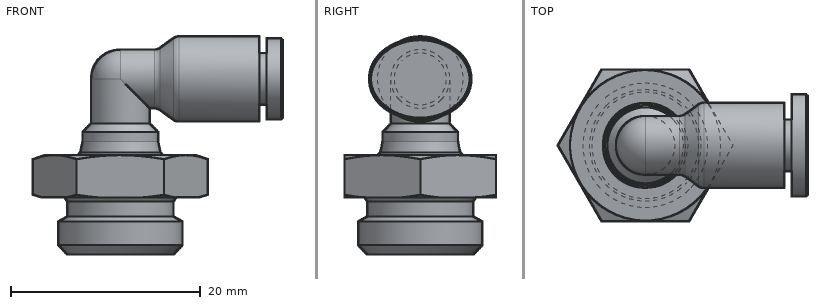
import cadquery as cq
import math

overall_length = 26.35
axis_height = 18.5
tube_radius = 3.1

thread_radius = 6.55
relief_radius = 5.6
relief_flare_radius = 5.87
lead_in_height = 1.0
thread_top = 3.48
relief_bottom = 4.0
relief_top = 5.58

hex_flats = 16.0
hex_corners = hex_flats / math.cos(math.radians(30))
hex_bottom = 6.0
hex_top = 10.48
top_face_radius = 7.93
top_bevel_drop = 0.45
bottom_face_radius = 8.3
bottom_bevel_rise = 0.3

collar_radius = 4.0
collar_foot_radius = 4.25
collar_flare_radius = 4.48
collar_foot_height = 10.75
collar_bottom = 11.88
collar_top = 12.88
collar_bevel_top = 13.8

socket_radius = 4.5
cone_start = 3.92
cone_end = 5.85
cone_blend_radius = 1.0
socket_end = 14.65
socket_edge_radius = 0.1

ring_neck_radius = 2.75
ring_start = 15.4
ring_end = overall_length - hex_corners / 2
ring_half_width = 5.4
ring_half_height = 4.3
ring_edge_bevel = 0.2


def revolve_about_z(outline):
    """Turn a list of (radius, height) points, closed along the Z axis, into a solid."""
    bottom = outline[0][1]
    top = outline[-1][1]
    profile = [(0, bottom)] + outline + [(0, top)]
    return cq.Workplane("XZ").polyline(profile).close().revolve(360, (0, 0, 0), (0, 1, 0))


def threaded_stub():
    return revolve_about_z([
        (relief_radius, 0),
        (thread_radius, lead_in_height),
        (thread_radius, thread_top),
        (relief_radius, relief_bottom),
        (relief_radius, relief_top),
        (relief_flare_radius, hex_bottom),
    ])


def hexagon():
    prism = (
        cq.Workplane("XY", origin=(0, 0, hex_bottom))
        .polygon(6, hex_corners)
        .extrude(hex_top - hex_bottom)
    )
    bevels = revolve_about_z([
        (bottom_face_radius, hex_bottom),
        (hex_corners / 2, hex_bottom + bottom_bevel_rise),
        (hex_corners / 2, hex_top - top_bevel_drop),
        (top_face_radius, hex_top),
    ])
    return prism.intersect(bevels)


def collar():
    return revolve_about_z([
        (collar_flare_radius, hex_top),
        (collar_foot_radius, collar_foot_height),
        (collar_radius, collar_bottom),
        (collar_radius, collar_top),
        (tube_radius, collar_bevel_top),
    ])


def elbow():
    riser = (
        cq.Workplane("XY", origin=(0, 0, collar_bevel_top))
        .circle(tube_radius)
        .extrude(axis_height - collar_bevel_top)
    )
    ball = cq.Workplane("XY", origin=(0, 0, axis_height)).sphere(tube_radius)
    return riser.union(ball)


def outlet():
    """Horizontal tube that widens through a blended cone into the socket."""
    cone_angle = math.atan2(socket_radius - tube_radius, cone_end - cone_start)
    setback = cone_blend_radius * math.tan(cone_angle / 2)
    along_cone = setback * math.cos(cone_angle)
    up_cone = setback * math.sin(cone_angle)
    profile = (
        cq.Workplane("XZ", origin=(0, 0, axis_height))
        .lineTo(0, tube_radius)
        .lineTo(cone_start - setback, tube_radius)
        .tangentArcPoint((cone_start + along_cone, tube_radius + up_cone), relative=False)
        .lineTo(cone_end - along_cone, socket_radius - up_cone)
        .tangentArcPoint((cone_end + setback, socket_radius), relative=False)
        .lineTo(socket_end, socket_radius)
        .lineTo(socket_end, 0)
        .close()
    )
    return profile.revolve(360, (0, 0, 0), (1, 0, 0)).faces(">X").edges().fillet(socket_edge_radius)


def release_ring():
    """Narrow neck carrying an oval flange with a bevelled outer edge."""
    neck = (
        cq.Workplane("YZ", origin=(socket_end, 0, axis_height))
        .circle(ring_neck_radius)
        .extrude(ring_start - socket_end)
    )
    flange = (
        cq.Workplane("YZ", origin=(ring_start, 0, axis_height))
        .ellipse(ring_half_width, ring_half_height)
        .extrude(ring_end - ring_start)
        .faces(">X")
        .edges()
        .chamfer(ring_edge_bevel)
    )
    return neck.union(flange)


result = (
    threaded_stub()
    .union(hexagon())
    .union(collar())
    .union(elbow())
    .union(outlet())
    .union(release_ring())
)